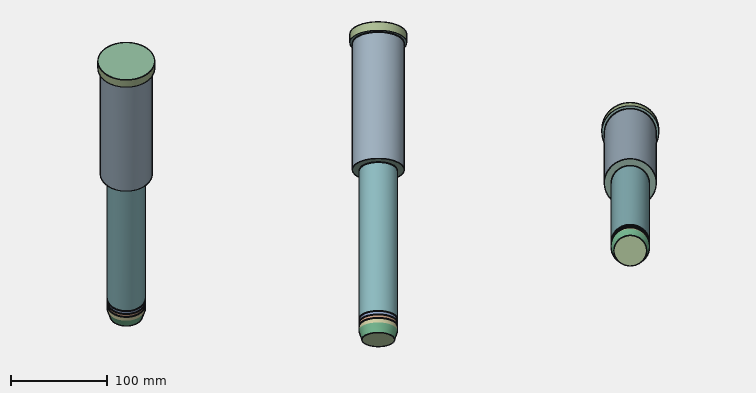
import cadquery as cq

total_length = 351.0
head_diameter = 59.0
head_thickness = 10.0
body_diameter = 54.0
body_length = 146.0
shaft_diameter = 40.0

tip_diameter = 34.0
tip_length = 10.0

rim_chamfer = 0.3

groove_radius = 0.5
groove_heights = (15.5, 19.5, 23.5)

relief_width = 1.0
relief_depth = 0.5

tip_radius = tip_diameter / 2
shaft_radius = shaft_diameter / 2
body_radius = body_diameter / 2
head_radius = head_diameter / 2
body_top = total_length - head_thickness
body_bottom = body_top - body_length


def revolve_about_z(profile):
    """Turn a closed profile, drawn with -X as the radial direction, about the Z axis."""
    return profile.revolve(360, (0, 0), (0, 1))


def make_pin():
    """Stepped pin: conical tip, shaft, body and head."""
    outline = [
        (0, 0),
        (-tip_radius, 0),
        (-shaft_radius, tip_length),
        (-shaft_radius, body_bottom),
        (-body_radius + rim_chamfer, body_bottom),
        (-body_radius, body_bottom + rim_chamfer),
        (-body_radius, body_top),
        (-head_radius, body_top),
        (-head_radius, total_length),
        (0, total_length),
    ]
    pin = revolve_about_z(cq.Workplane("XZ").polyline(outline).close())
    return pin.faces("<Z or >Z").edges().chamfer(rim_chamfer)


def shoulder_relief(radius, shoulder_height):
    """Shallow square ring removed from a cylinder just below a shoulder."""
    outline = [
        (-radius, shoulder_height),
        (-radius + relief_depth, shoulder_height),
        (-radius + relief_depth, shoulder_height - relief_width),
        (-radius, shoulder_height - relief_width),
    ]
    return revolve_about_z(cq.Workplane("XZ").polyline(outline).close())


def shaft_groove(height):
    """Ring of round section centered on the shaft surface."""
    return revolve_about_z(cq.Workplane("XZ").moveTo(-shaft_radius, height).circle(groove_radius))


result = make_pin()
result = result.cut(shoulder_relief(shaft_radius, body_bottom))
result = result.cut(shoulder_relief(body_radius, body_top))
for groove_height in groove_heights:
    result = result.cut(shaft_groove(groove_height))